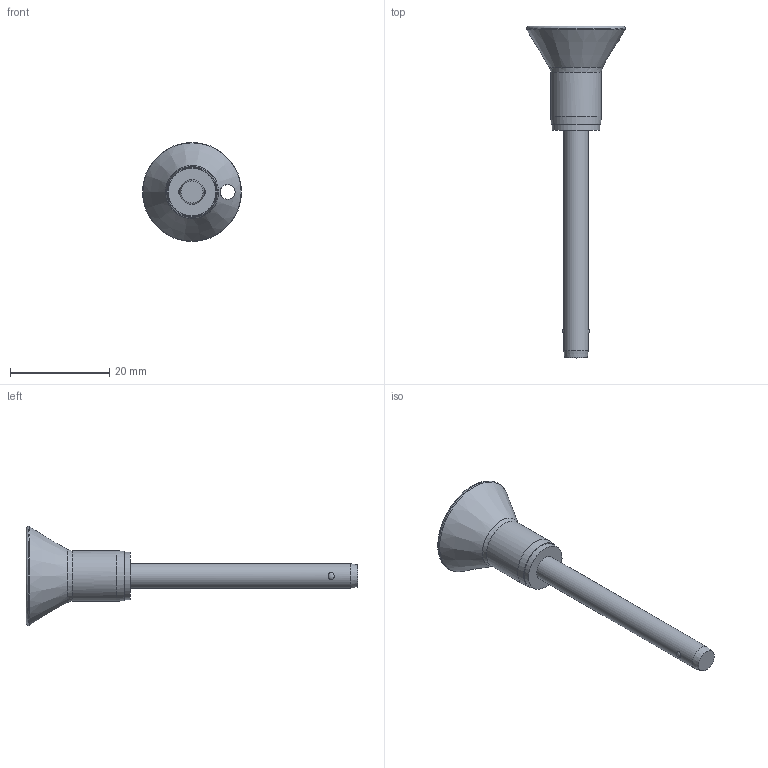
import cadquery as cq
import math

total_length = 67.0
handle_length = 21.0

knob_radius = 10.0
rim_radius = 0.5
flare_angle = math.radians(31)

body_radius = 5.1
neck_fillet = 1.8
taper_start = 18.2
taper_end = 19.8
taper_end_radius = 5.0
collar_radius = 4.8

pin_radius = 2.5
tip_radius = 2.25
tip_length = 1.5

ball_radius = 1.0
ball_protrusion = 0.2
ball_from_tip = 5.4

lanyard_hole_radius = 1.5
lanyard_hole_offset = 7.2


def revolve_about_axis(outline):
    """Full revolution of a half profile about the Y axis."""
    return outline.revolve(360, (0, 0, 0), (0, 1, 0))


def rim_point(angle):
    """Point (radius, Y) on the rounded rim, at an angle turned from radial toward -Y."""
    center_radius = knob_radius - rim_radius
    return (
        center_radius + rim_radius * math.cos(angle),
        -rim_radius - rim_radius * math.sin(angle),
    )


def make_handle():
    """Knob with a rounded rim, body and collar, revolved about the Y axis."""
    flare_start = rim_point(flare_angle)
    flare_end = flare_start[1] - (flare_start[0] - body_radius) / math.tan(flare_angle)
    outline = (
        cq.Workplane("XY")
        .lineTo(knob_radius - rim_radius, 0)
        .threePointArc(rim_point(-math.pi / 4), rim_point(0))
        .threePointArc(rim_point(flare_angle / 2), flare_start)
        .lineTo(body_radius, flare_end)
        .lineTo(body_radius, -taper_start)
        .lineTo(taper_end_radius, -taper_end)
        .lineTo(collar_radius, -taper_end)
        .lineTo(collar_radius, -handle_length)
        .lineTo(0, -handle_length)
        .close()
    )
    neck = cq.selectors.NearestToPointSelector((0, flare_end, 0))
    return revolve_about_axis(outline).edges("%CIRCLE").edges(neck).fillet(neck_fillet)


def make_pin():
    """Plain pin with a slightly tapered tip."""
    outline = (
        cq.Workplane("XY")
        .moveTo(0, -handle_length)
        .lineTo(pin_radius, -handle_length)
        .lineTo(pin_radius, tip_length - total_length)
        .lineTo(tip_radius, -total_length)
        .lineTo(0, -total_length)
        .close()
    )
    return revolve_about_axis(outline)


def make_ball(side):
    """Locking ball on the +X (side = 1) or -X (side = -1) flank of the pin."""
    ball_offset = pin_radius + ball_protrusion - ball_radius
    return (
        cq.Workplane("XY")
        .sphere(ball_radius)
        .translate((side * ball_offset, ball_from_tip - total_length, 0))
    )


def make_lanyard_hole():
    """Cutter for the hole that runs parallel to the pin through the flared knob."""
    return (
        cq.Workplane("XZ")
        .center(lanyard_hole_offset, 0)
        .circle(lanyard_hole_radius)
        .extrude(handle_length)
    )


result = make_handle().cut(make_lanyard_hole()).union(make_pin())
for side in (-1, 1):
    result = result.union(make_ball(side))